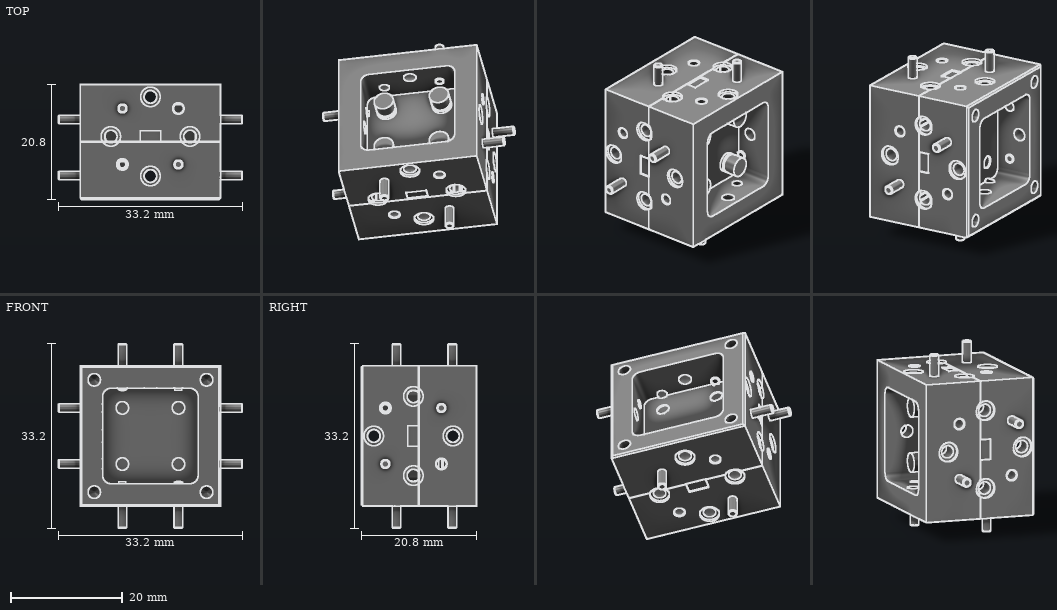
import cadquery as cq
import math

PIN_TIP_REACH = 16.58
BLOCK_SIZE = 25.3
BLOCK_DEPTH = 20.75
SPLIT_GAP = 0.1
EDGE_CHAMFER = 0.3
FACE = BLOCK_SIZE / 2
END = BLOCK_DEPTH / 2

POCKET_SIZE = 17.2
POCKET_CORNER = 1.52
POCKET_DEPTH = 6.83
POCKET_WALL = POCKET_SIZE / 2
FLOOR_Y = END - POCKET_DEPTH

CORNER_PITCH = 20.22
CORNER_HOLE_DEPTH = 4.97
SCREW_RADIUS = 1.13
POST_PITCH = 10.1
POST_RADIUS = 1.75
POST_LENGTH = 3.18
RECESS_DEPTH = 0.23
POST_GROOVE_OFFSET = 0.53
POST_GROOVE_WIDTH = 0.25
POST_GROOVE_DEPTH = 0.1

PATTERN_SHIFT = 1.0
SIDE_HOLE_OFFSET = 7.13
COUNTERBORE_RADIUS = 1.75
COUNTERBORE_DEPTH = 0.5
SHOULDER_DEPTH = 4.38
OPEN_HOLE_DEPTH = FACE - POCKET_WALL / 2
NOTCH_WIDTH = 3.7
NOTCH_DEPTH = 0.25
DRILL_ANGLE = 118.0

PIN_OFFSET = 5.05
PIN_RADIUS = 0.8
PIN_CHAMFER = 0.15
SEAT_OVERRUN = 0.33
SEAT_DEPTH = FACE - POCKET_WALL + SEAT_OVERRUN
SOCKET_RADIUS = 0.9
SOCKET_RIM = 0.13
SOCKET_OVERRUN = 0.23
SOCKET_DEPTH = FACE - POCKET_WALL + SOCKET_OVERRUN

QUARTER_TURNS = [0, 90, 180, 270]


def block(size, y_start, y_end):
    """Square prism around the Y axis."""
    length = y_end - y_start
    return cq.Workplane("XY").box(size, length, size).translate((0, y_start + length / 2, 0))


def rounded_core(y_start, y_end):
    """Square prism with the outline of the pocket."""
    return block(POCKET_SIZE, y_start, y_end).edges("|Y").fillet(POCKET_CORNER)


def drill(radius, depth):
    """Cutter pointing down from the origin along -Z, with a conical tip below its full depth."""
    tip = radius / math.tan(math.radians(DRILL_ANGLE / 2))
    outline = [(0, 0), (radius, 0), (radius, -depth), (0, -depth - tip)]
    return cq.Workplane("XZ").polyline(outline).close().revolve(360, (0, 0), (0, 1))


def y_cylinders(pitch, radius, y_start, length):
    """Four cylinders along +Y at the corners of a square."""
    plane = cq.Workplane("XZ", origin=(0, y_start, 0))
    return plane.rect(pitch, pitch, forConstruction=True).vertices().circle(radius).extrude(-length)


def turn(body, angle):
    """Carry a body from the +Z face to the face at this angle about the Y axis."""
    return body.rotate((0, 0, 0), (0, 1, 0), angle)


def pattern_centre(angle):
    """Y position of the pattern on the side face at this angle."""
    return PATTERN_SHIFT if angle % 180 == 0 else -PATTERN_SHIFT


def counterbored_hole(x, y):
    bore = drill(SCREW_RADIUS, SHOULDER_DEPTH)
    counterbore = cq.Workplane("XY").circle(COUNTERBORE_RADIUS).extrude(-COUNTERBORE_DEPTH)
    return bore.union(counterbore).translate((x, y, FACE))


def open_hole(y):
    """Counterbored hole that runs on into a pocket."""
    run = cq.Workplane("XY").circle(SCREW_RADIUS).extrude(-OPEN_HOLE_DEPTH).translate((0, y, FACE))
    return counterbored_hole(0, y).union(run)


def socket(x, y):
    rim = cq.Workplane("XY").circle(SOCKET_RADIUS + SOCKET_RIM).extrude(-SOCKET_RIM, taper=45)
    return drill(SOCKET_RADIUS, SOCKET_DEPTH).union(rim).translate((x, y, FACE))


def pin_seat(x, y):
    return cq.Workplane("XY").circle(PIN_RADIUS).extrude(-SEAT_DEPTH).translate((x, y, FACE))


def notch(y):
    """Shallow pry notch that starts at the split and is centred on the pattern."""
    return cq.Workplane("XY").box(NOTCH_WIDTH, 2 * PATTERN_SHIFT, 2 * NOTCH_DEPTH).translate((0, y, FACE))


def side_cutters():
    core = rounded_core(-FLOOR_Y, FLOOR_Y)
    cutters = []
    for angle in QUARTER_TURNS:
        y = pattern_centre(angle)
        on_face = [open_hole(y + SIDE_HOLE_OFFSET), open_hole(y - SIDE_HOLE_OFFSET), notch(y)]
        for side in (-1, 1):
            on_face.append(counterbored_hole(side * SIDE_HOLE_OFFSET, y).cut(core))
            on_face.append(socket(side * PIN_OFFSET, y + side * PIN_OFFSET))
            on_face.append(pin_seat(side * PIN_OFFSET, y - side * PIN_OFFSET))
        cutters += [turn(cutter, angle) for cutter in on_face]
    return cutters


def make_pins():
    pin_length = PIN_TIP_REACH - POCKET_WALL
    pin = cq.Workplane("XY").circle(PIN_RADIUS).extrude(pin_length).faces("<Z or >Z").chamfer(PIN_CHAMFER)
    pins = []
    for angle in QUARTER_TURNS:
        for side in (-1, 1):
            y = pattern_centre(angle) - side * PIN_OFFSET
            pins.append(turn(pin.translate((side * PIN_OFFSET, y, POCKET_WALL)), angle))
    return pins


def corner_holes():
    cutter = drill(SCREW_RADIUS, CORNER_HOLE_DEPTH).rotate((0, 0, 0), (1, 0, 0), 90)
    at = CORNER_PITCH / 2
    return [cutter.translate((x, -END, z)) for x in (-at, at) for z in (-at, at)]


def make_front_half(cutters):
    half = block(BLOCK_SIZE, -END, -SPLIT_GAP / 2).faces("<Y").chamfer(EDGE_CHAMFER)
    half = half.cut(rounded_core(-END, -FLOOR_Y))
    half = half.cut(y_cylinders(POST_PITCH, SCREW_RADIUS, -FLOOR_Y, RECESS_DEPTH))
    for cutter in cutters + corner_holes():
        half = half.cut(cutter)
    return half


def make_back_half(cutters):
    half = block(BLOCK_SIZE, SPLIT_GAP / 2, END).cut(rounded_core(FLOOR_Y, END))
    for cutter in cutters:
        half = half.cut(cutter)
    groove_y = FLOOR_Y + POST_GROOVE_OFFSET
    posts = y_cylinders(POST_PITCH, POST_RADIUS, FLOOR_Y, POST_LENGTH)
    neck = y_cylinders(POST_PITCH, POST_RADIUS - POST_GROOVE_DEPTH, groove_y, POST_GROOVE_WIDTH)
    ring = y_cylinders(POST_PITCH, POST_RADIUS, groove_y, POST_GROOVE_WIDTH).cut(neck)
    return half.union(posts.cut(ring))


pins = make_pins()
cutters = side_cutters()
front_half = make_front_half(cutters)
back_half = make_back_half(cutters)

result = cq.Compound.makeCompound([front_half.val(), back_half.val(), *[pin.val() for pin in pins]])